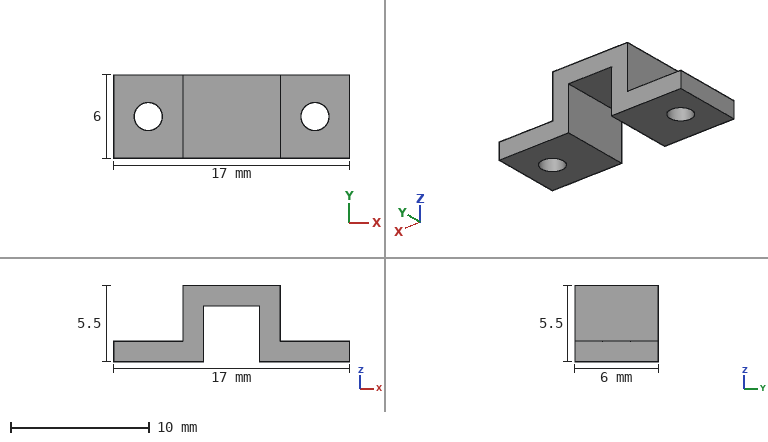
import cadquery as cq

length = 17.0
width = 6.0
height = 5.5
thickness = 1.5
bridge_length = 7.0
hole_diameter = 2.0

flange_length = (length - bridge_length) / 2
channel_width = bridge_length - 2 * thickness
channel_height = height - thickness
hole_offset = (length - flange_length) / 2


def centred_block(size_x, size_z):
    """Full-width block centred in X and Y, standing on the base plane."""
    return cq.Workplane("XY").box(size_x, width, size_z, centered=(True, True, False))


flanges = centred_block(length, thickness)
bridge = centred_block(bridge_length, height)
channel = centred_block(channel_width, channel_height)
body = flanges.union(bridge).cut(channel)

holes = (
    cq.Workplane("XY")
    .pushPoints([(-hole_offset, 0), (hole_offset, 0)])
    .circle(hole_diameter / 2)
    .extrude(thickness)
)

result = body.cut(holes)